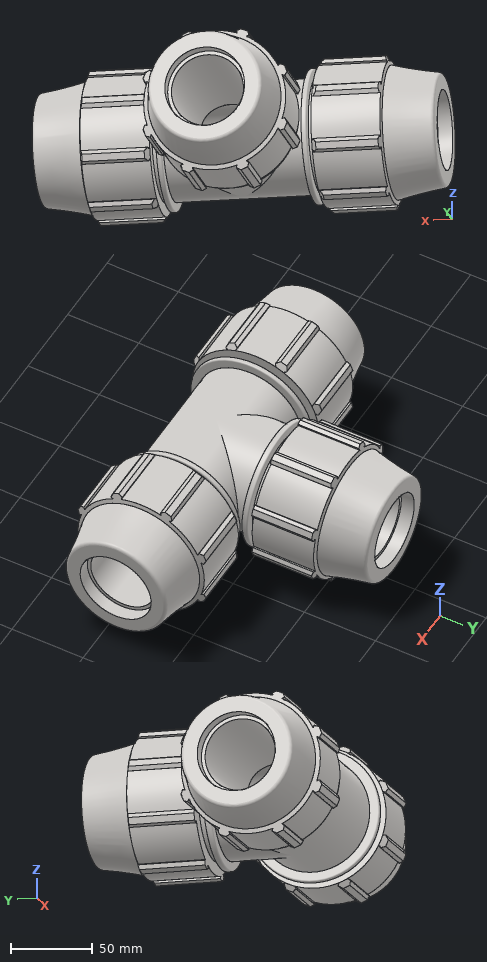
import cadquery as cq
import math

arm_length = 126.0

tube_diameter = 72.0
bore_diameter = 45.0
socket_diameter = 50.0
socket_depth = 9.0

nose_end_diameter = 71.0
nose_flare_sag = 0.5
nose_base_diameter = 83.5
nose_fillet = 2.3

nut_start = 31.2
nut_end = 75.3
nut_face_angle = 18
nut_diameter = 89.0

rib_count = 8
rib_pitch = 360 / rib_count
rib_tip_radius = 48.0
rib_tip_width = 4.5
rib_shoulder_radius = 45.5
rib_shoulder_width = 8.5
rib_neck_width = 6.5
rib_root_radius = 42.3
rib_inner_chamfer = 3.0

flange_diameter = 84.5
flange_rim_fillet = 1.0
run_flange_start = 78.5
run_flange_thickness = 3.5
branch_flange_start = 80.0
branch_flange_thickness = 4.3


def cylinder(diameter, start, end):
    """Cylinder on the Z axis between two heights."""
    return cq.Workplane("XY").workplane(offset=start).circle(diameter / 2).extrude(end - start)


def make_nose():
    """Flared clamping nose with a rounded front edge."""
    end_radius = nose_end_diameter / 2
    base_radius = nose_base_diameter / 2
    middle_radius = (end_radius + base_radius) / 2 - nose_flare_sag
    nose = (
        cq.Workplane("XZ")
        .lineTo(end_radius, 0)
        .threePointArc((middle_radius, nut_start / 2), (base_radius, nut_start))
        .lineTo(0, nut_start)
        .close()
        .revolve(360, (0, 0), (0, 1))
    )
    return nose.faces("<Z").edges().fillet(nose_fillet)


def make_rib():
    """One bulbous grip rib, centred on the +X direction."""
    neck_radius = math.sqrt((nut_diameter / 2) ** 2 - (rib_neck_width / 2) ** 2)
    flank = [
        (rib_root_radius, rib_neck_width / 2),
        (neck_radius, rib_neck_width / 2),
        (rib_shoulder_radius, rib_shoulder_width / 2),
        (rib_tip_radius, rib_tip_width / 2),
    ]
    opposite_flank = [(x, -y) for x, y in reversed(flank)]
    return (
        cq.Workplane("XY")
        .workplane(offset=nut_start)
        .polyline(flank + opposite_flank)
        .close()
        .extrude(nut_end - nut_start)
    )


def make_nut_envelope(inner_chamfer):
    """Turned limit of the nut: a leaning outer face and optional slopes on the inner rib ends."""
    nut_radius = nut_diameter / 2
    nose_radius = nose_base_diameter / 2
    rim_radius = math.hypot(rib_tip_radius, rib_tip_width / 2)
    face_rise = (rim_radius - nose_radius) * math.tan(math.radians(nut_face_angle))
    points = [
        (0, nut_start),
        (nose_radius, nut_start),
        (rim_radius, nut_start + face_rise),
        (rim_radius, nut_end - inner_chamfer),
    ]
    if inner_chamfer > 0:
        points.append((nut_radius, nut_end))
    points.append((0, nut_end))
    return cq.Workplane("XZ").polyline(points).close().revolve(360, (0, 0), (0, 1))


def make_nut(inner_chamfer):
    """Nut body with ribs set half a pitch away from the main axes."""
    nut = cylinder(nut_diameter, nut_start, nut_end)
    rib = make_rib()
    for index in range(rib_count):
        angle = (index + 0.5) * rib_pitch
        nut = nut.union(rib.rotate((0, 0, 0), (0, 0, 1), angle))
    return nut.intersect(make_nut_envelope(inner_chamfer))


def make_flange(start, thickness):
    """Thin collar with a rounded rim."""
    flange = cylinder(flange_diameter, start, start + thickness)
    return flange.edges().fillet(flange_rim_fillet)


def make_arm(flange_start, flange_thickness, inner_chamfer):
    """Solid arm with its open end at the origin and the tee centre up the Z axis."""
    tube = cylinder(tube_diameter, nut_start, arm_length)
    flange = make_flange(flange_start, flange_thickness)
    return make_nose().union(tube).union(make_nut(inner_chamfer)).union(flange)


def make_arm_bore():
    """Through bore with a wider socket at the open end."""
    return cylinder(bore_diameter, 0, arm_length).union(cylinder(socket_diameter, 0, socket_depth))


def to_left(arm):
    """Move an arm from the Z axis to the -X side of the tee."""
    return arm.rotate((0, 0, 0), (0, 1, 0), 90).translate((-arm_length, 0, 0))


def to_right(arm):
    """Move an arm from the Z axis to the +X side of the tee."""
    return arm.rotate((0, 0, 0), (0, 1, 0), -90).translate((arm_length, 0, 0))


def to_branch(arm):
    """Move an arm from the Z axis to the +Y side of the tee."""
    return arm.rotate((0, 0, 0), (1, 0, 0), 90).translate((0, arm_length, 0))


run_arm = make_arm(run_flange_start, run_flange_thickness, rib_inner_chamfer)
branch_arm = make_arm(branch_flange_start, branch_flange_thickness, 0)
arm_bore = make_arm_bore()

body = to_left(run_arm).union(to_right(run_arm)).union(to_branch(branch_arm))
bores = to_left(arm_bore).union(to_right(arm_bore)).union(to_branch(arm_bore))
result = body.cut(bores)